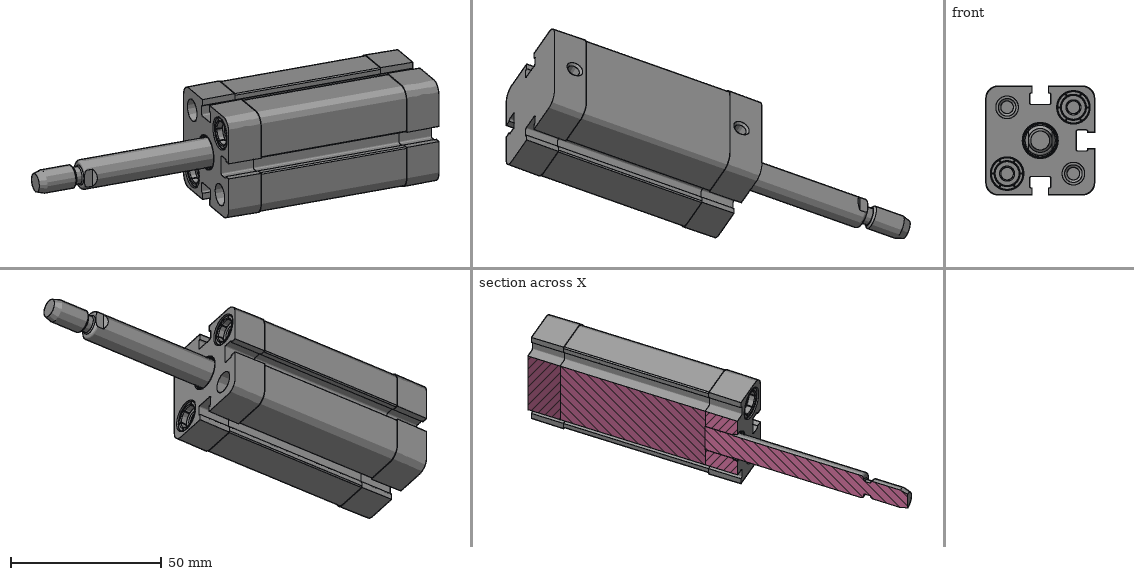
import cadquery as cq
import math


overall_length = 139.6
overall_width = 36.3
barrel_width = 35.9
cap_end_width = 36.0
corner_radius = 4.2
cap_length = 11.9
housing_length = 77.0
barrel_length = housing_length - 2 * cap_length

slot_opening = 5.5
slot_undercut_width = 7.0
slot_lip_chamfer = 0.4
slot_inner_fillet = 0.5
slot_shoulder = 15.8
slot_floor = 12.0
slot_angles = (0, 90, -90)

screw_offset = 11.0
tip_diameter = 4.2
countersink_diameter = 5.9
countersink_depth = (countersink_diameter - tip_diameter) / 2
socket_countersink_diameter = 5.0
socket_countersink_depth = (socket_countersink_diameter - tip_diameter) / 2

bore_diameter = 7.5
bore_depth = 8.4

socket_diameter = 11.2
socket_depth = 2.8
collar_outer_diameter = 10.9
collar_rim_diameter = 10.5
collar_throat_diameter = 8.7
collar_inner_diameter = 8.0
collar_recess = 0.4
collar_slot_count = 6
collar_slot_width = 0.3

port_offset = 7.5
port_depth = 5.6

rod_diameter = 10.0
seal_mouth_diameter = 12.0
seal_groove_diameter = 11.5
seal_groove_depth = 1.0
seal_diameter = 10.9
seal_depth = 1.7
seal_chamfer = (seal_mouth_diameter - seal_groove_diameter) / 2

rod_shoulder = 46.3
rod_fillet = 1.0
neck_diameter = 5.9
neck_length = 2.5
neck_root_chamfer = 0.4
thread_diameter = 8.0
thread_chamfer = 0.7
tip_face_diameter = 6.3
tip_length = 2.7
rod_reach = overall_length - housing_length
wrench_flat_width = 8.0
wrench_flat_length = 3.0
wrench_flat_runout = 1.3


def y_cylinder(x, z, y_start, length, diameter):
    """Cylinder running from y_start toward +Y."""
    return cq.Workplane(cq.Solid.makeCylinder(
        diameter / 2, length, cq.Vector(x, y_start, z), cq.Vector(0, 1, 0)))


def y_cone(x, z, y_start, length, start_diameter, end_diameter):
    """Cone running from y_start toward +Y."""
    return cq.Workplane(cq.Solid.makeCone(
        start_diameter / 2, end_diameter / 2, length, cq.Vector(x, y_start, z), cq.Vector(0, 1, 0)))


def rounded_square(width):
    """Outline of the housing: a square with rounded corners."""
    return cq.Sketch().rect(width, width).vertices().fillet(corner_radius)


def slot_cutter(angle):
    """T-slot running along the whole housing."""
    opening = cq.Workplane("XY").box(
        overall_width, housing_length, slot_opening, centered=(False, False, True)
    ).translate((slot_floor, 0, 0))
    undercut = cq.Workplane("XY").box(
        slot_shoulder - slot_floor, housing_length, slot_undercut_width, centered=(False, False, True)
    ).edges("|Y").fillet(slot_inner_fillet).translate((slot_floor, 0, 0))
    return opening.union(undercut).rotate((0, 0, 0), (0, 1, 0), angle)


def lip_chamfer_cutter(angle):
    """Wedge that bevels both lips of a barrel slot."""
    half_width = slot_opening / 2
    face = barrel_width / 2
    wedge = cq.Workplane("XZ").polyline([
        (face, half_width + slot_lip_chamfer),
        (face, -half_width - slot_lip_chamfer),
        (face - slot_lip_chamfer, -half_width),
        (face - slot_lip_chamfer, half_width),
    ]).close().extrude(-housing_length)
    return wedge.rotate((0, 0, 0), (0, 1, 0), angle)


def port_cutter(y):
    """Countersunk blind port entering from the -X side."""
    inward = cq.Vector(1, 0, 0)
    mouth_x = -overall_width / 2
    bore = cq.Solid.makeCylinder(tip_diameter / 2, port_depth, cq.Vector(mouth_x, y, 0), inward)
    mouth = cq.Solid.makeCone(
        countersink_diameter / 2, tip_diameter / 2, countersink_depth, cq.Vector(mouth_x, y, 0), inward)
    return cq.Workplane(bore).union(cq.Workplane(mouth))


def cap_blank():
    """Slotted cap with its outer face at y = 0, widening toward the barrel."""
    draft = math.degrees(math.atan((overall_width - cap_end_width) / 2 / cap_length))
    cap = (
        cq.Workplane("XZ", origin=(0, cap_length, 0))
        .placeSketch(rounded_square(overall_width))
        .extrude(cap_length, taper=draft)
    )
    for angle in slot_angles:
        cap = cap.cut(slot_cutter(angle))
    return cap.cut(port_cutter(port_offset))


def corner_bore_cutter(x, z):
    """Smooth blind bore with a conical recess in its floor."""
    bore = y_cylinder(x, z, 0, bore_depth, bore_diameter)
    return bore.union(y_cone(x, z, bore_depth, countersink_depth, countersink_diameter, tip_diameter))


def socket_cutter(x, z):
    """Blind socket that leaves a slotted collar standing inside it."""
    collar_length = socket_depth - collar_recess
    rim_chamfer = (collar_outer_diameter - collar_rim_diameter) / 2
    throat_chamfer = (collar_throat_diameter - collar_inner_diameter) / 2
    chamfered_top = y_cone(x, z, collar_recess, rim_chamfer, collar_rim_diameter, collar_outer_diameter)
    collar = y_cylinder(
        x, z, collar_recess + rim_chamfer, collar_length - rim_chamfer, collar_outer_diameter
    ).union(chamfered_top)
    collar = collar.cut(y_cylinder(x, z, collar_recess, collar_length, collar_inner_diameter))
    collar = collar.cut(
        y_cone(x, z, collar_recess, throat_chamfer, collar_throat_diameter, collar_inner_diameter))
    for index in range(collar_slot_count):
        slot = cq.Workplane("XY").box(
            socket_diameter / 2, collar_length, collar_slot_width, centered=(False, False, True)
        ).rotate((0, 0, 0), (0, 1, 0), index * 360 / collar_slot_count)
        collar = collar.cut(slot.translate((x, collar_recess, z)))
    socket = y_cylinder(x, z, 0, socket_depth, socket_diameter).cut(collar)
    return socket.union(y_cone(
        x, z, socket_depth, socket_countersink_depth, socket_countersink_diameter, tip_diameter))


def make_front_cap():
    cap = cap_blank()
    for side in (1, -1):
        cap = cap.cut(socket_cutter(side * screw_offset, side * screw_offset))
        cap = cap.cut(corner_bore_cutter(-side * screw_offset, side * screw_offset))
    cap = cap.cut(y_cylinder(0, 0, 0, cap_length, rod_diameter))
    cap = cap.cut(y_cylinder(0, 0, 0, seal_depth, seal_diameter))
    cap = cap.cut(y_cylinder(0, 0, 0, seal_groove_depth, seal_groove_diameter))
    return cap.cut(y_cone(0, 0, 0, seal_chamfer, seal_mouth_diameter, seal_groove_diameter))


def make_rear_cap():
    return cap_blank().mirror("XZ").translate((0, housing_length, 0))


def make_barrel():
    barrel = (
        cq.Workplane("XZ", origin=(0, cap_length, 0))
        .placeSketch(rounded_square(barrel_width))
        .extrude(-barrel_length)
    )
    for angle in slot_angles:
        barrel = barrel.cut(slot_cutter(angle)).cut(lip_chamfer_cutter(angle))
    return barrel


def make_rod():
    """Turned rod from the barrel face to its threaded tip, with two wrench flats."""
    rod_radius = rod_diameter / 2
    neck_radius = neck_diameter / 2
    thread_radius = thread_diameter / 2
    thread_start = rod_shoulder + neck_length
    fillet_start = -rod_shoulder + rod_fillet
    fillet_center_x = rod_radius - rod_fillet
    fillet_reach = rod_fillet * math.sqrt(0.5)
    profile = (
        cq.Workplane("XY")
        .moveTo(0, cap_length)
        .lineTo(rod_radius, cap_length)
        .lineTo(rod_radius, fillet_start)
        .threePointArc(
            (fillet_center_x + fillet_reach, fillet_start - fillet_reach),
            (fillet_center_x, -rod_shoulder))
        .lineTo(neck_radius + neck_root_chamfer, -rod_shoulder)
        .lineTo(neck_radius, -rod_shoulder - neck_root_chamfer)
        .lineTo(neck_radius, -thread_start)
        .lineTo(thread_radius - thread_chamfer, -thread_start)
        .lineTo(thread_radius, -thread_start - thread_chamfer)
        .lineTo(thread_radius, -rod_reach + tip_length)
        .lineTo(tip_face_diameter / 2, -rod_reach)
        .lineTo(0, -rod_reach)
        .close()
    )
    rod = profile.revolve(360, (0, 0, 0), (0, 1, 0))
    flat_x = wrench_flat_width / 2
    flat_start = -rod_shoulder + wrench_flat_length
    for side in (1, -1):
        flat = cq.Workplane("XY").polyline([
            (side * flat_x, -rod_shoulder),
            (side * flat_x, flat_start),
            (side * rod_radius, flat_start + wrench_flat_runout),
            (side * rod_radius, -rod_shoulder),
        ]).close().extrude(rod_radius, both=True)
        rod = rod.cut(flat)
    return rod


front_cap = make_front_cap()
barrel = make_barrel()
rear_cap = make_rear_cap()
rod = make_rod()

result = cq.Compound.makeCompound([front_cap.val(), barrel.val(), rear_cap.val(), rod.val()])